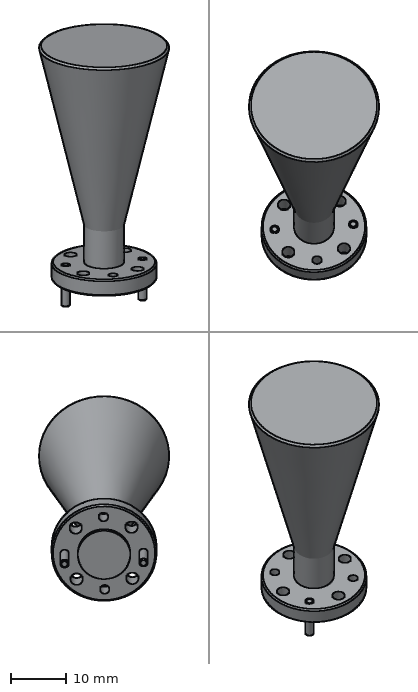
import cadquery as cq
import math

total_height = 49.6
boss_bottom = 3.9
flange_bottom = 4.7
flange_top = 7.95
neck_top = 15.12

horn_diameter = 23.6
horn_chamfer = 0.4
neck_diameter = 7.3
flange_diameter = 19.05
flange_chamfer = 0.3
boss_diameter = 9.5

hole_circle_radius = 7.15
screw_hole_diameter = 2.25
screw_hole_angles = (0, 90, 180, 270)
alignment_hole_diameter = 1.7
alignment_hole_angles = (135, 315)

pin_diameter = 1.6
pin_chamfer = 0.25
pin_angles = (45, 225)


def circle_point(angle):
    """Point on the hole circle at an angle in degrees from +X."""
    turn = math.radians(angle)
    return (hole_circle_radius * math.cos(turn), hole_circle_radius * math.sin(turn))


def disc(diameter, bottom, top):
    """Cylinder on the Z axis between two heights."""
    return cq.Workplane("XY").workplane(offset=bottom).circle(diameter / 2).extrude(top - bottom)


def flange_holes(diameter, angles):
    """Cutters that pass through the flange at the given angles."""
    points = [circle_point(angle) for angle in angles]
    return (
        cq.Workplane("XY").workplane(offset=flange_bottom)
        .pushPoints(points).circle(diameter / 2).extrude(flange_top - flange_bottom)
    )


def make_cone():
    """Cone that widens from the neck to the chamfered rim."""
    neck_radius = neck_diameter / 2
    rim_radius = horn_diameter / 2
    profile = [
        (0, neck_top),
        (neck_radius, neck_top),
        (rim_radius, total_height - horn_chamfer),
        (rim_radius - horn_chamfer, total_height),
        (0, total_height),
    ]
    return cq.Workplane("XZ").polyline(profile).close().revolve(360, (0, 0), (0, 1))


def make_horn():
    """Flanged horn with its screw, alignment and pin holes."""
    flange = disc(flange_diameter, flange_bottom, flange_top).edges().chamfer(flange_chamfer)
    boss = disc(boss_diameter, boss_bottom, flange_bottom)
    neck = disc(neck_diameter, flange_top, neck_top)
    body = flange.union(boss).union(neck).union(make_cone())
    body = body.cut(flange_holes(screw_hole_diameter, screw_hole_angles))
    body = body.cut(flange_holes(alignment_hole_diameter, alignment_hole_angles))
    return body.cut(flange_holes(pin_diameter, pin_angles))


def make_pin(angle):
    """Dowel pin chamfered at both ends."""
    x, y = circle_point(angle)
    return disc(pin_diameter, 0, flange_top).edges().chamfer(pin_chamfer).translate((x, y, 0))


horn = make_horn()
pins = [make_pin(angle) for angle in pin_angles]

result = cq.Compound.makeCompound([horn.solids().val(), *[pin.solids().val() for pin in pins]])